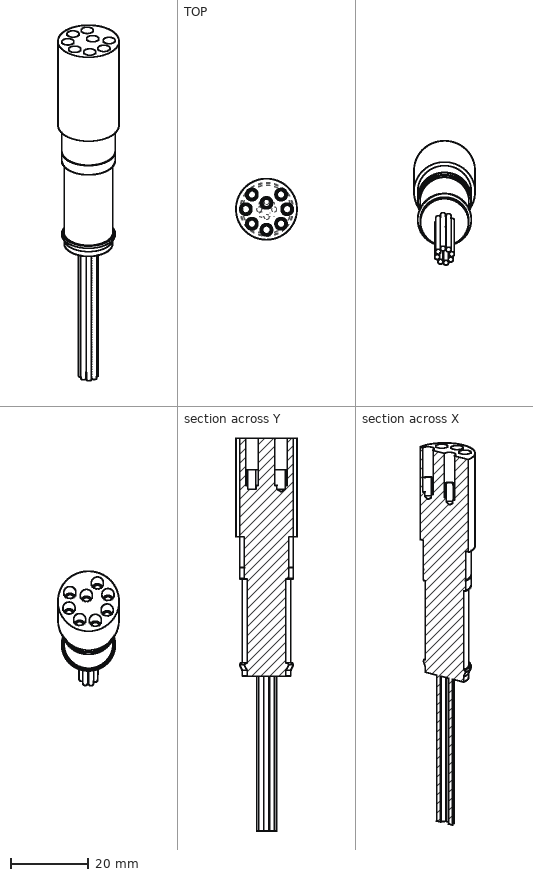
import cadquery as cq
import math

total_height = 102.1
wire_length = 40.2
collar_bottom = 65.5
seam_bottom = 68.4
head_bottom = 76.5

head_diameter = 15.9
collar_diameter = 14.0
shank_diameter = 12.7
collar_chamfer = 0.2
shank_chamfer = 0.1
seam_size = 0.1

lip_diameter = collar_diameter
lip_top_diameter = 13.5
shank_end_height = 1.5
lip_taper_height = 1.4
lip_bevel_height = 0.5

contact_count = 8
contact_circle_diameter = 10.7
keyed_contact_offset = 1.6
chamber_diameter = 3.2
chamber_depth = 12.3
socket_diameter = 2.8
socket_top_depth = 8.2
bore_diameter = 2.0
bore_depth = chamber_depth + 1.0
bore_cone_height = 0.6
pointed_bores = (0, 1, 3, 4)

wire_diameter = 1.3
wire_circle_radius = 1.9

overlap = 0.5


def ring_points(radius, count):
    """Evenly spaced points on a circle, counterclockwise from +Y."""
    angles = [math.pi / 2 + i * 2 * math.pi / count for i in range(count)]
    return [(radius * math.cos(a), radius * math.sin(a)) for a in angles]


def cylinders(points, diameter, bottom, top):
    base = cq.Workplane("XY").workplane(offset=bottom)
    return base.pushPoints(points).circle(diameter / 2).extrude(top - bottom)


def make_body():
    """Stepped round body: shank with lip, collar with a fine seam, and head."""
    head_radius = head_diameter / 2
    collar_radius = collar_diameter / 2
    shank_radius = shank_diameter / 2
    lip_taper_bottom = wire_length + shank_end_height
    lip_widest = lip_taper_bottom + lip_taper_height
    lip_top = lip_widest + lip_bevel_height
    seam_top = seam_bottom + seam_size
    profile = [
        (0, wire_length),
        (shank_radius - shank_chamfer, wire_length),
        (shank_radius, wire_length + shank_chamfer),
        (shank_radius, lip_taper_bottom),
        (lip_diameter / 2, lip_widest),
        (lip_top_diameter / 2, lip_top),
        (shank_radius, lip_top),
        (shank_radius, collar_bottom),
        (collar_radius - collar_chamfer, collar_bottom),
        (collar_radius, collar_bottom + collar_chamfer),
        (collar_radius, seam_bottom),
        (collar_radius - seam_size, seam_bottom),
        (collar_radius - seam_size, seam_top),
        (collar_radius, seam_top),
        (collar_radius, head_bottom),
        (head_radius, head_bottom),
        (head_radius, total_height),
        (0, total_height),
    ]
    return cq.Workplane("XZ").polyline(profile).close().revolve(360, (0, 0, 0), (0, 1, 0))


def bore_cones(points):
    """Conical ends below the socket bores."""
    cone_top = total_height - bore_depth
    cone = cq.Solid.makeCone(0, bore_diameter / 2, bore_cone_height)
    base = cq.Workplane("XY").workplane(offset=cone_top - bore_cone_height)
    return base.pushPoints(points).eachpoint(lambda location: cone.moved(location))


def cut_contacts(body):
    """Chambers sunk into the top face, each holding a tubular socket."""
    contacts = ring_points(contact_circle_diameter / 2, contact_count)
    contacts[0] = (0, keyed_contact_offset)
    chamber_floor = total_height - chamber_depth
    socket_top = total_height - socket_top_depth
    body = body.cut(cylinders(contacts, chamber_diameter, chamber_floor, total_height))
    body = body.union(cylinders(contacts, socket_diameter, chamber_floor - overlap, socket_top))
    body = body.cut(cylinders(contacts, bore_diameter, total_height - bore_depth, total_height))
    return body.cut(bore_cones([contacts[i] for i in pointed_bores]))


def make_wires():
    points = ring_points(wire_circle_radius, contact_count)
    return cylinders(points, wire_diameter, 0, wire_length + overlap)


result = cut_contacts(make_body()).union(make_wires())